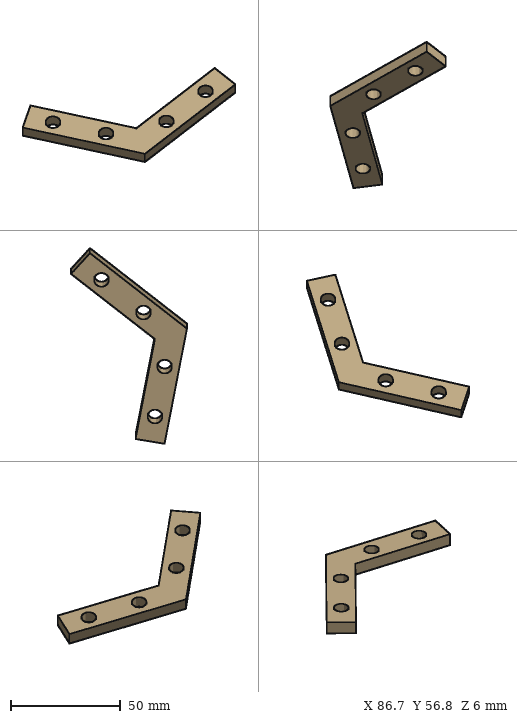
import cadquery as cq
import math

overall_length = 86.7
arm_width = 13.4
thickness = 6.0
hole_diameter = 6.7
bend_angle = 60.0

cos_bend = math.cos(math.radians(bend_angle))
sin_bend = math.sin(math.radians(bend_angle))
outer_length = overall_length / (1 + cos_bend)
inner_length = outer_length - arm_width * math.tan(math.radians(bend_angle / 2))

hole_setbacks = [inner_length / 4, inner_length * 3 / 4]


def on_second_arm(along, across):
    """Point at a distance along the outer edge from the bend, and inward from that edge."""
    return (
        outer_length + along * cos_bend - across * sin_bend,
        along * sin_bend + across * cos_bend,
    )


outline = [
    (0, 0),
    (outer_length, 0),
    on_second_arm(outer_length, 0),
    on_second_arm(outer_length, arm_width),
    (inner_length, arm_width),
    (0, arm_width),
]
plate = cq.Workplane("XY").polyline(outline).close().extrude(thickness)

hole_centers = []
for setback in hole_setbacks:
    hole_centers.append((setback, arm_width / 2))
    hole_centers.append(on_second_arm(outer_length - setback, arm_width / 2))
holes = cq.Workplane("XY").pushPoints(hole_centers).circle(hole_diameter / 2).extrude(thickness)

result = plate.cut(holes)